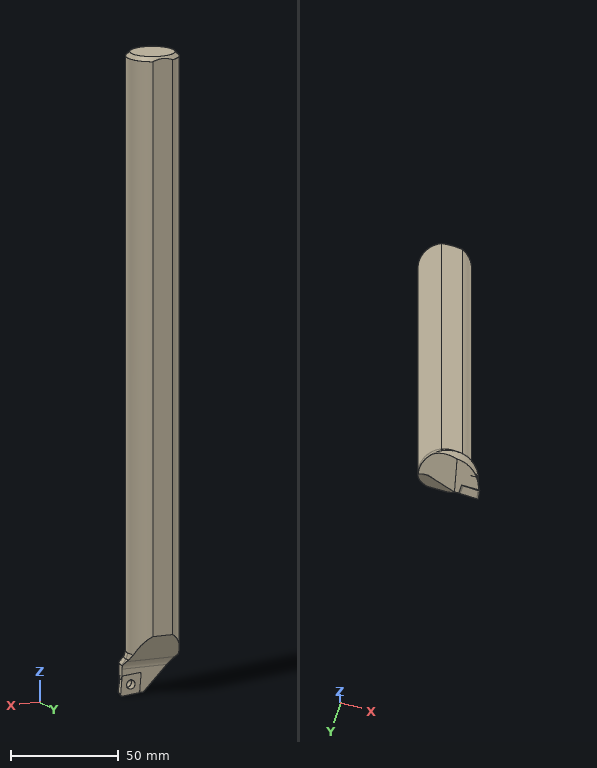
import cadquery as cq
import math

total_length = 306.0
shank_radius = 12.5
flat_distance = 11.48
flat_end_z = 19.5
end_chamfer = 2.0

collar_top_z = 20.2
flare_top_z = 17.5
collar_radius = 13.0
collar_offset = 0.5
flare_bottom_z = 14.7
head_radius = 14.23
head_offset = 1.5
back_cut_z = 18.5
bottom_edge_z = 1.0
bottom_relief_angle = 12.0

rake_y = 0.5
runout_low_z = 15.0
runout_high_z = 31.2
runout_radius = 6.0

tip_x = 16.5
insert_side = 9.8
insert_corner_angle = 80.0
insert_tilt = 5.0
insert_thickness = 4.0
insert_relief_angle = 7.0
nose_radius = 0.8
screw_hole_diameter = 4.3
screw_hole_depth = 9.2

oversize = 61.2


def rhombus_points():
    """Corners as (x, z), starting at the sharp tip; the rounded nose touches z = 0 and x = tip_x."""
    half_angle = math.radians(insert_corner_angle / 2)
    diagonal = math.radians(insert_tilt) + half_angle
    nose_center_distance = nose_radius / math.sin(half_angle)
    corner_x = tip_x - nose_radius + nose_center_distance * math.cos(diagonal)
    corner_z = nose_radius - nose_center_distance * math.sin(diagonal)
    low_edge = math.radians(insert_tilt)
    low_step = (-insert_side * math.cos(low_edge), insert_side * math.sin(low_edge))
    side_edge = math.radians(insert_tilt + insert_corner_angle)
    side_step = (-insert_side * math.cos(side_edge), insert_side * math.sin(side_edge))
    return [
        (corner_x, corner_z),
        (corner_x + low_step[0], corner_z + low_step[1]),
        (corner_x + low_step[0] + side_step[0], corner_z + low_step[1] + side_step[1]),
        (corner_x + side_step[0], corner_z + side_step[1]),
    ]


def insert_blank():
    """Insert without its hole, tapering toward -Y from the rake face."""
    return (
        cq.Workplane("XZ", origin=(0, rake_y, 0))
        .polyline(rhombus_points()).close()
        .extrude(insert_thickness, taper=insert_relief_angle)
        .edges("not #Y")
        .fillet(nose_radius)
    )


def screw_hole():
    """Cylinder through the insert centre and into the head."""
    points = rhombus_points()
    center_x = (points[0][0] + points[2][0]) / 2
    center_z = (points[0][1] + points[2][1]) / 2
    return (
        cq.Workplane("XZ", origin=(0, rake_y, 0))
        .center(center_x, center_z)
        .circle(screw_hole_diameter / 2)
        .extrude(screw_hole_depth)
    )


def shank():
    """Round bar with a chamfered top."""
    return (
        cq.Workplane("XY", origin=(0, 0, collar_top_z))
        .circle(shank_radius)
        .extrude(total_length - collar_top_z)
        .faces(">Z").chamfer(end_chamfer)
    )


def flare_stage(low_z, low_offset, low_radius, high_z, high_offset, high_radius):
    """Skewed cone between two circles, each offset from the shank axis along X."""
    return (
        cq.Workplane("XY", origin=(0, 0, low_z))
        .center(low_offset, 0).circle(low_radius)
        .workplane(offset=high_z - low_z)
        .center(high_offset - low_offset, 0).circle(high_radius)
        .loft()
    )


def head():
    """Collar, flare and offset cylinder."""
    collar = flare_stage(flare_top_z, collar_offset, collar_radius, collar_top_z, 0, shank_radius)
    flare = flare_stage(
        flare_bottom_z, head_offset, head_radius, flare_top_z, collar_offset, collar_radius
    )
    cylinder = (
        cq.Workplane("XY").center(head_offset, 0).circle(head_radius).extrude(flare_bottom_z)
    )
    return collar.union(flare).union(cylinder)


def cut_flats(body):
    """Cut the two long flats, which run a little way into the collar."""
    for side in (-1, 1):
        flat_cut = (
            cq.Workplane("XY")
            .box(oversize, oversize, total_length, centered=(True, True, False))
            .translate((0, side * (flat_distance + oversize / 2), flat_end_z))
        )
        body = body.cut(flat_cut)
    return body


def back_cut():
    """45 degree face across the -X side of the head."""
    return (
        cq.Workplane("XZ")
        .moveTo(-shank_radius - oversize, back_cut_z + oversize)
        .lineTo(-shank_radius + oversize, back_cut_z - oversize)
        .lineTo(-shank_radius - oversize, back_cut_z - oversize)
        .close()
        .extrude(oversize, both=True)
    )


def underside_cut():
    """Underside that rises toward -Y."""
    rise = oversize * math.tan(math.radians(bottom_relief_angle))
    return (
        cq.Workplane("YZ")
        .moveTo(rake_y + oversize, bottom_edge_z - rise)
        .lineTo(rake_y - oversize, bottom_edge_z + rise)
        .lineTo(rake_y - oversize, -oversize)
        .lineTo(rake_y + oversize, -oversize)
        .close()
        .extrude(oversize, both=True)
    )


def rake_cut():
    """Clears the +Y half of the head, sloping out through the shank."""
    return (
        cq.Workplane("YZ")
        .moveTo(rake_y, -oversize)
        .lineTo(rake_y, runout_low_z)
        .lineTo(shank_radius, runout_high_z)
        .lineTo(shank_radius + oversize, runout_high_z)
        .lineTo(shank_radius + oversize, -oversize)
        .close()
        .extrude(oversize, both=True)
        .edges(cq.selectors.NearestToPointSelector((0, rake_y, runout_low_z)))
        .fillet(runout_radius)
    )


bar = cut_flats(shank().union(head()))
bar = bar.cut(back_cut()).cut(underside_cut()).cut(rake_cut())
bar = bar.cut(insert_blank()).cut(screw_hole())

insert = insert_blank().cut(screw_hole())

result = cq.Compound.makeCompound([bar.val(), insert.val()])